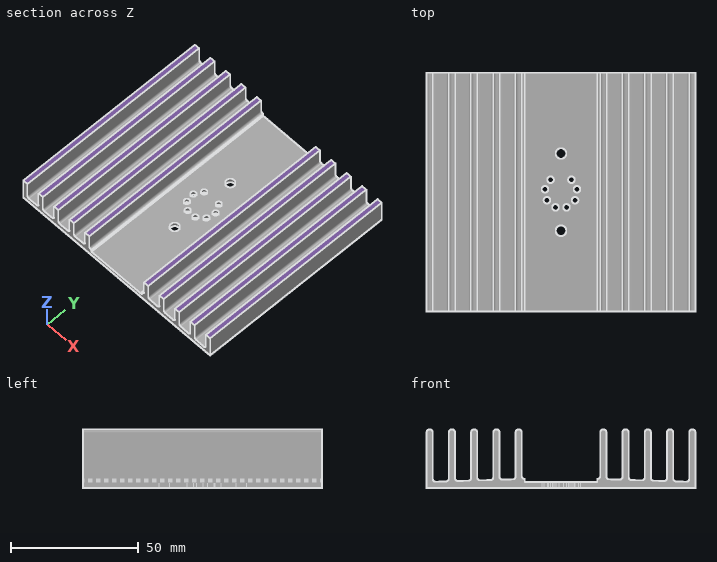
import cadquery as cq
import math

width = 105.2
length = 93.5
height = 23.0
half_width = width / 2

fins_per_side = 5
fin_thickness = 2.5
fin_pitch = 8.7
fin_root_radius = 1.0
fin_tip_radius = fin_thickness / 2
outer_fin_x = half_width - fin_thickness / 2
fin_centres = [outer_fin_x - i * fin_pitch for i in range(fins_per_side)]

channel_width = 28.2
half_channel = channel_width / 2
channel_floor = 2.4
shoulder_outer_height = channel_floor
shoulder_inner_height = 3.6

mount_hole_diameter = 4.1
mount_hole_spacing = 30.2
pin_hole_diameter = 2.5
pin_circle_diameter = 12.7
pin_divisions = 9


def shoulder_height(x):
    """Height of the sloping base surface at distance x from the centre plane."""
    fraction = (half_width - x) / (half_width - half_channel)
    return shoulder_outer_height + fraction * (shoulder_inner_height - shoulder_outer_height)


def extrude_along_length(profile):
    """Extrude an XZ profile symmetrically about the XZ plane."""
    return profile.extrude(length / 2, both=True)


def make_base():
    profile = (
        cq.Workplane("XZ")
        .moveTo(-half_width, 0)
        .lineTo(half_width, 0)
        .lineTo(half_width, shoulder_outer_height)
        .lineTo(half_channel, shoulder_inner_height)
        .lineTo(half_channel, channel_floor)
        .lineTo(-half_channel, channel_floor)
        .lineTo(-half_channel, shoulder_inner_height)
        .lineTo(-half_width, shoulder_outer_height)
        .close()
    )
    return extrude_along_length(profile)


def make_fin(x):
    """Straight fin centred on x, with a fully rounded tip."""
    left = x - fin_thickness / 2
    right = x + fin_thickness / 2
    tip_start = height - fin_tip_radius
    profile = (
        cq.Workplane("XZ")
        .moveTo(left, 0)
        .lineTo(right, 0)
        .lineTo(right, tip_start)
        .threePointArc((x, height), (left, tip_start))
        .close()
    )
    return extrude_along_length(profile)


def round_fin_roots(body):
    """Fillet each inside corner between a fin and the base."""
    roots = []
    for centre in fin_centres:
        roots.append(centre - fin_thickness / 2)
        if centre != outer_fin_x:
            roots.append(centre + fin_thickness / 2)

    edges_along_length = body.edges("|Y")
    corners = cq.Workplane()
    for x in roots:
        for side in (-1, 1):
            point = (side * x, 0, shoulder_height(x))
            nearest = cq.selectors.NearestToPointSelector(point)
            corners = corners.add(edges_along_length.edges(nearest))
    return body.newObject(corners.vals()).fillet(fin_root_radius)


def drill_through(body, points, diameter):
    holes = cq.Workplane("XY").pushPoints(points).circle(diameter / 2).extrude(height)
    return body.cut(holes)


def pin_hole_points():
    """Points on the pin circle, stepped clockwise from +Y, skipping +Y itself."""
    radius = pin_circle_diameter / 2
    points = []
    for i in range(1, pin_divisions):
        angle = 2 * math.pi * i / pin_divisions
        points.append((radius * math.sin(angle), radius * math.cos(angle)))
    return points


body = make_base()
for centre in fin_centres:
    body = body.union(make_fin(centre)).union(make_fin(-centre))
body = round_fin_roots(body)

mount_hole_points = [(0, mount_hole_spacing / 2), (0, -mount_hole_spacing / 2)]
body = drill_through(body, mount_hole_points, mount_hole_diameter)
result = drill_through(body, pin_hole_points(), pin_hole_diameter)